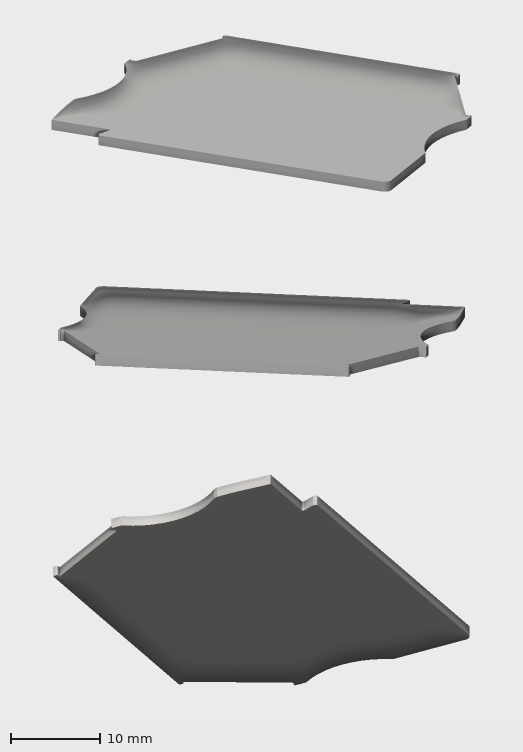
import cadquery as cq

length = 42.7
width = 34.0
thickness = 1.2

lip_left = 7.17
lip_right = 36.25
lip_height = 0.6
lip_overhang = 0.45
lip_radius = 0.2

shoulder_y = 22.67
shoulder_left = 1.5
shoulder_right = 42.0
ear_left = 0.6
ear_rise = 0.13
ear_tip_width = 0.25
ear_tip_radius = 0.1

left_scallop_top = (0.7, 21.4)
left_scallop_middle = (2.48, 15.3)
left_scallop_bottom = (0.15, 9.35)
right_scallop_top = 21.3
right_scallop_middle = (41.05, 15.6)
right_scallop_bottom = 10.1

foot_side_top = 8.92
foot_side_bottom = 6.65
foot_corner_x = 0.3
foot_y = 2.18

step_top_x = 7.65
step_bottom_x = 7.0
step_bottom_y = 0.5
step_radius = 0.2
corner_radius = 0.85

lip_y = width - lip_height
ear_y = shoulder_y + ear_rise

outline = (
    cq.Workplane("XY")
    .moveTo(lip_left, width)
    .lineTo(lip_right, width)
    .lineTo(lip_right, lip_y)
    .lineTo(lip_right - lip_overhang, lip_y)
    .lineTo(shoulder_right, shoulder_y)
    .lineTo(length - ear_tip_width, shoulder_y)
    .lineTo(length - ear_tip_width, ear_y)
    .lineTo(length, ear_y)
    .lineTo(length, right_scallop_top)
    .threePointArc(right_scallop_middle, (length, right_scallop_bottom))
    .lineTo(length, 0)
    .lineTo(step_bottom_x, 0)
    .lineTo(step_bottom_x, step_bottom_y)
    .lineTo(step_top_x, foot_y)
    .lineTo(foot_corner_x, foot_y)
    .lineTo(0, foot_side_bottom)
    .lineTo(0, foot_side_top)
    .lineTo(*left_scallop_bottom)
    .threePointArc(left_scallop_middle, left_scallop_top)
    .lineTo(ear_left, left_scallop_top[1])
    .lineTo(ear_left, ear_y)
    .lineTo(ear_left + ear_tip_width, ear_y)
    .lineTo(ear_left + ear_tip_width, shoulder_y)
    .lineTo(shoulder_left, shoulder_y)
    .lineTo(lip_left + lip_overhang, lip_y)
    .lineTo(lip_left, lip_y)
    .close()
)
plate = outline.extrude(thickness)


def round_corner(body, x, y, radius):
    """Fillet the upright edge of the plate nearest to (x, y)."""
    corner = cq.selectors.NearestToPointSelector((x, y, thickness / 2))
    return body.edges("|Z").edges(corner).fillet(radius)


rounded_corners = [
    (lip_left, width, lip_radius),
    (lip_left, lip_y, lip_radius),
    (lip_right, width, lip_radius),
    (lip_right, lip_y, lip_radius),
    (ear_left, ear_y, ear_tip_radius),
    (length, ear_y, ear_tip_radius),
    (step_top_x, foot_y, step_radius),
    (step_bottom_x, 0, step_radius),
    (length, 0, corner_radius),
]
for corner_x, corner_y, radius in rounded_corners:
    plate = round_corner(plate, corner_x, corner_y, radius)

result = plate